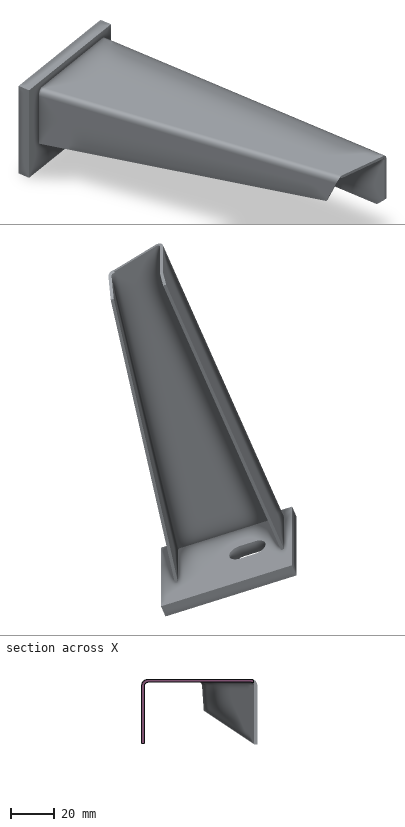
import cadquery as cq
import math

PLATE_LENGTH = 65.0
PLATE_HEIGHT = 50.0
PLATE_THICKNESS = 6.0
SLOT_LENGTH = 18.0
SLOT_WIDTH = 10.7
SLOT_Y = 10.3

TOTAL_LENGTH = 166.5
SHEET = 1.5
INNER_RADIUS = 1.5
OUTER_RADIUS = INNER_RADIUS + SHEET
ARM_INSET = 4.0
ARM_DEPTH = 30.0
FRONT_ROOT_DEPTH = 30.3
BACK_CORNER_CHAMFER = 4.3

FRONT_BEND_Y = -22.5
TAPER_ANGLE = 9.0
WEB_FRONT_TIP_X = 160.0
FRONT_TIP_X = 153.7
FRONT_TIP_DROP = 14.7

arm_top = PLATE_HEIGHT / 2 - ARM_INSET
arm_back = PLATE_LENGTH / 2 - ARM_INSET
back_bend_y = arm_back - OUTER_RADIUS
taper = math.radians(TAPER_ANGLE)
web_front_tip_y = FRONT_BEND_Y + (WEB_FRONT_TIP_X - PLATE_THICKNESS) * math.tan(taper)
front_axis = cq.Vector(math.cos(taper), math.sin(taper), 0)
front_outward = cq.Vector(math.sin(taper), -math.cos(taper), 0)


def make_plate():
    """Rectangular plate with one horizontal through slot."""
    plate = cq.Workplane("XY").box(
        PLATE_THICKNESS, PLATE_LENGTH, PLATE_HEIGHT, centered=(False, True, True)
    )
    slot = (
        cq.Workplane("YZ")
        .center(SLOT_Y, 0)
        .slot2D(SLOT_LENGTH, SLOT_WIDTH)
        .extrude(PLATE_THICKNESS)
    )
    return plate.cut(slot)


def make_web():
    """Flat top of the arm, between the two bend lines."""
    return (
        cq.Workplane("XY", origin=(0, 0, arm_top))
        .moveTo(PLATE_THICKNESS, back_bend_y)
        .lineTo(TOTAL_LENGTH, back_bend_y)
        .lineTo(WEB_FRONT_TIP_X, web_front_tip_y)
        .lineTo(PLATE_THICKNESS, FRONT_BEND_Y)
        .close()
        .extrude(-SHEET)
    )


def make_flange(bend_y, axis, outward, outline):
    """Bend and flange swept along axis, trimmed to a side outline.

    The outline points are (distance along axis, height relative to the web's top).
    """
    origin = cq.Vector(PLATE_THICKNESS, bend_y, arm_top)
    section_plane = cq.Plane(origin=origin, xDir=outward, normal=axis)
    down = -1 if section_plane.yDir.z > 0 else 1
    bend_cos = math.cos(math.pi / 4)
    outer_mid = OUTER_RADIUS * bend_cos
    inner_mid = INNER_RADIUS * bend_cos
    deepest = max(-height for _, height in outline)
    strip = (
        cq.Workplane(section_plane)
        .moveTo(0, 0)
        .threePointArc(
            (outer_mid, down * (OUTER_RADIUS - outer_mid)), (OUTER_RADIUS, down * OUTER_RADIUS)
        )
        .lineTo(OUTER_RADIUS, down * deepest)
        .lineTo(INNER_RADIUS, down * deepest)
        .lineTo(INNER_RADIUS, down * OUTER_RADIUS)
        .threePointArc((inner_mid, down * (OUTER_RADIUS - inner_mid)), (0, down * SHEET))
        .close()
        .extrude(TOTAL_LENGTH)
    )
    side_plane = cq.Plane(origin=origin, xDir=axis, normal=axis.cross(cq.Vector(0, 0, 1)))
    side = cq.Workplane(side_plane).polyline(outline).close().extrude(OUTER_RADIUS, both=True)
    return strip.intersect(side)


def make_arm():
    """Channel-shaped arm: web, straight back flange and tapered front flange."""
    back_length = TOTAL_LENGTH - PLATE_THICKNESS
    back_outline = [
        (0, 0),
        (back_length, 0),
        (back_length, BACK_CORNER_CHAMFER - ARM_DEPTH),
        (back_length - BACK_CORNER_CHAMFER, -ARM_DEPTH),
        (0, -ARM_DEPTH),
    ]
    front_outline = [
        (0, 0),
        ((WEB_FRONT_TIP_X - PLATE_THICKNESS) / math.cos(taper), 0),
        ((FRONT_TIP_X - PLATE_THICKNESS) / math.cos(taper), -FRONT_TIP_DROP),
        (0, -FRONT_ROOT_DEPTH),
    ]
    back = make_flange(back_bend_y, cq.Vector(1, 0, 0), cq.Vector(0, 1, 0), back_outline)
    front = make_flange(FRONT_BEND_Y, front_axis, front_outward, front_outline)
    return make_web().union(back).union(front)


plate = make_plate()
arm = make_arm()
result = cq.Compound.makeCompound([plate.val(), arm.val()])